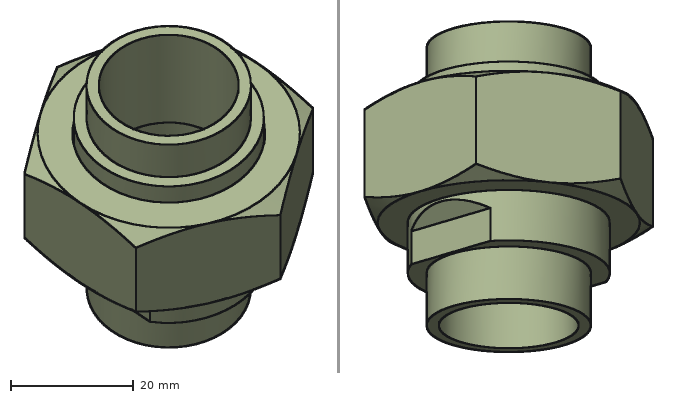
import cadquery as cq
import math


total_height = 48.0
shoulder_bottom = 9.05
flat_top = 14.75
nut_bottom = 17.8
joint_height = 27.25
lip_bottom = 32.7
nut_top = 36.7
collar_top = 40.35

bore_diameter = 22.9
tube_diameter = 26.9
shoulder_diameter = 33.1
collar_diameter = 31.1
collar_clearance = 0.2
flats_width = 28.1
nut_corner_diameter = 49.55
nut_flat_diameter = nut_corner_diameter * math.cos(math.radians(30))
nut_chamfer_angle = 30.0


def cylinder(diameter, bottom, top):
    return cq.Workplane("XY").workplane(offset=bottom).circle(diameter / 2).extrude(top - bottom)


def wrench_flat_cutter():
    """Outside of one wrench flat on +Y, ending in a 45 degree slope at the top."""
    flat = flats_width / 2
    outside = shoulder_diameter / 2 + 0.5
    return (
        cq.Workplane("YZ")
        .moveTo(flat, shoulder_bottom)
        .lineTo(outside, shoulder_bottom)
        .lineTo(outside, flat_top + outside - flat)
        .lineTo(flat, flat_top)
        .close()
        .extrude(shoulder_diameter / 2, both=True)
    )


def make_lower_tailpiece():
    shoulder = cylinder(shoulder_diameter, shoulder_bottom, joint_height)
    for angle in (0, 180):
        shoulder = shoulder.cut(wrench_flat_cutter().rotate((0, 0, 0), (0, 0, 1), angle))
    tube = cylinder(tube_diameter, 0, shoulder_bottom)
    return shoulder.union(tube).cut(cylinder(bore_diameter, 0, joint_height))


def make_upper_tailpiece():
    flange = cylinder(shoulder_diameter, joint_height, lip_bottom)
    collar = cylinder(collar_diameter, lip_bottom, collar_top)
    tube = cylinder(tube_diameter, collar_top, total_height)
    bore = cylinder(bore_diameter, joint_height, total_height)
    return flange.union(collar).union(tube).cut(bore)


def nut_chamfer_envelope():
    """Turned blank whose conical ends cut the hexagon corners back."""
    corner_radius = nut_corner_diameter / 2
    face_radius = nut_flat_diameter / 2
    drop = (corner_radius - face_radius) * math.tan(math.radians(nut_chamfer_angle))
    return (
        cq.Workplane("XZ")
        .moveTo(0, nut_bottom)
        .lineTo(face_radius, nut_bottom)
        .lineTo(corner_radius, nut_bottom + drop)
        .lineTo(corner_radius, nut_top - drop)
        .lineTo(face_radius, nut_top)
        .lineTo(0, nut_top)
        .close()
        .revolve(360, (0, 0, 0), (0, 1, 0))
    )


def make_nut():
    hexagon = (
        cq.Workplane("XY")
        .workplane(offset=nut_bottom)
        .polygon(6, nut_corner_diameter)
        .extrude(nut_top - nut_bottom)
    )
    main_bore = cylinder(shoulder_diameter, nut_bottom, lip_bottom)
    lip_bore = cylinder(collar_diameter + 2 * collar_clearance, lip_bottom, nut_top)
    return hexagon.intersect(nut_chamfer_envelope()).cut(main_bore).cut(lip_bore)


lower_tailpiece = make_lower_tailpiece()
upper_tailpiece = make_upper_tailpiece()
nut = make_nut()

result = cq.Compound.makeCompound([lower_tailpiece.val(), upper_tailpiece.val(), nut.val()])